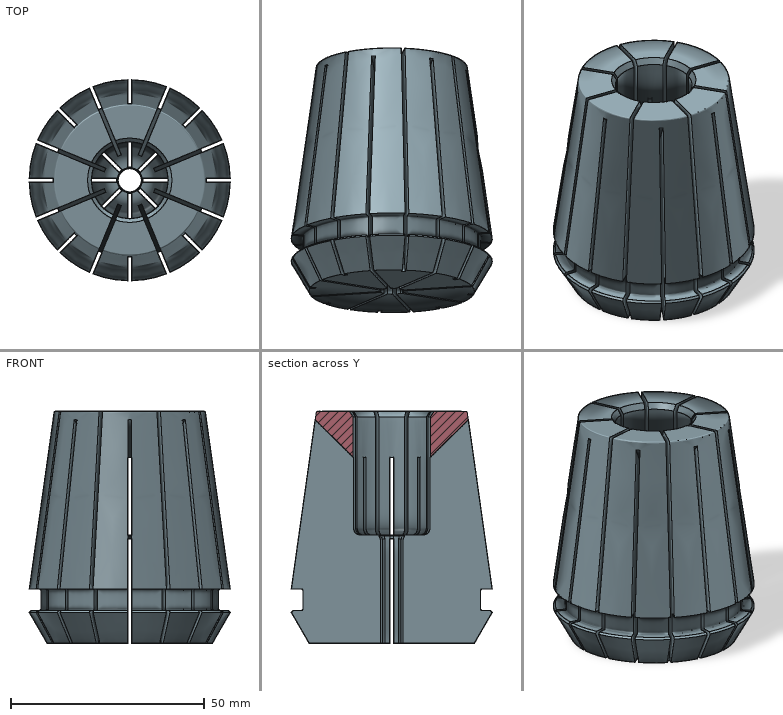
import cadquery as cq
import math

length = 60.0
max_radius = 26.0
taper_angle = 8.0
groove_radius = 23.0
groove_corner_radius = 0.4
taper_bottom_z = 14.0
top_edge_fillet = 0.4

nose_angle = 30.0
nose_top_z = 8.0
nose_edge_chamfer = 0.5

bore_radius = 3.0
bore_chamfer = 0.25
relief_radius = 9.9
relief_floor_z = 28.0
relief_fillet = 1.8
mouth_radius = 10.9
mouth_depth = 1.5

slits_per_set = 8
slit_pitch = 360.0 / slits_per_set
slit_width = 1.0
slit_overrun = 5.0

lower_slit_roof_inner_z = 48.0
lower_slit_roof_outer_z = 57.8

upper_slit_inner_radius = 6.9
upper_slit_outer_radius = 20.0

lip_outer_radius = 3.4
lip_height = 1.0

nose_bottom_radius = max_radius - nose_top_z * math.tan(math.radians(nose_angle))
groove_bottom_z = nose_top_z + nose_edge_chamfer
slit_end_radius = max_radius + slit_overrun
lip_bottom_z = relief_floor_z - lip_height


def radius_on_taper(z):
    """Outer radius of the long taper at height z."""
    return max_radius - (z - taper_bottom_z) * math.tan(math.radians(taper_angle))


def make_body():
    """Solid of revolution: nose cone, groove, and long taper with a rounded top edge."""
    arc_inset = groove_corner_radius * (1 - math.sqrt(0.5))
    profile = (
        cq.Workplane("XZ")
        .moveTo(0, 0)
        .lineTo(nose_bottom_radius, 0)
        .lineTo(max_radius, nose_top_z)
        .lineTo(max_radius - nose_edge_chamfer, groove_bottom_z)
        .lineTo(groove_radius + groove_corner_radius, groove_bottom_z)
        .threePointArc(
            (groove_radius + arc_inset, groove_bottom_z + arc_inset),
            (groove_radius, groove_bottom_z + groove_corner_radius),
        )
        .lineTo(groove_radius, taper_bottom_z - groove_corner_radius)
        .threePointArc(
            (groove_radius + arc_inset, taper_bottom_z - arc_inset),
            (groove_radius + groove_corner_radius, taper_bottom_z),
        )
        .lineTo(max_radius, taper_bottom_z)
        .lineTo(radius_on_taper(length), length)
        .lineTo(0, length)
        .close()
    )
    body = profile.revolve(360, (0, 0, 0), (0, 1, 0))
    return body.faces(">Z").edges().fillet(top_edge_fillet)


def make_bore():
    """Chamfered through bore, wide relief with a rounded floor corner, and chamfered mouth."""
    arc_inset = relief_fillet * (1 - math.sqrt(0.5))
    profile = (
        cq.Workplane("XZ")
        .moveTo(0, 0)
        .lineTo(bore_radius, 0)
        .lineTo(bore_radius, relief_floor_z - bore_chamfer)
        .lineTo(bore_radius + bore_chamfer, relief_floor_z)
        .lineTo(relief_radius - relief_fillet, relief_floor_z)
        .threePointArc(
            (relief_radius - arc_inset, relief_floor_z + arc_inset),
            (relief_radius, relief_floor_z + relief_fillet),
        )
        .lineTo(relief_radius, length - mouth_depth)
        .lineTo(mouth_radius, length)
        .lineTo(0, length)
        .close()
    )
    return profile.revolve(360, (0, 0, 0), (0, 1, 0))


def cut_slits(part, outline, first_angle):
    """Cut one set of equally spaced radial slits with the given (radius, z) outline."""
    slit = cq.Workplane("XZ").polyline(outline).close().extrude(slit_width / 2, both=True)
    for index in range(slits_per_set):
        angle = first_angle + index * slit_pitch
        part = part.cut(slit.rotate((0, 0, 0), (0, 0, 1), angle))
    return part


lower_slit_outline = [
    (0, -slit_overrun),
    (slit_end_radius, -slit_overrun),
    (slit_end_radius, lower_slit_roof_outer_z),
    (radius_on_taper(lower_slit_roof_outer_z), lower_slit_roof_outer_z),
    (relief_radius, lower_slit_roof_inner_z),
    (lip_outer_radius, lower_slit_roof_inner_z),
    (lip_outer_radius, relief_floor_z),
    (bore_radius, lip_bottom_z),
    (0, lip_bottom_z),
]
upper_slit_outline = [
    (upper_slit_outer_radius, 0),
    (slit_end_radius, 0),
    (slit_end_radius, length),
    (upper_slit_inner_radius, length),
    (upper_slit_inner_radius, relief_floor_z),
]

result = make_body().cut(make_bore())
result = cut_slits(result, lower_slit_outline, 0)
result = cut_slits(result, upper_slit_outline, slit_pitch / 2)